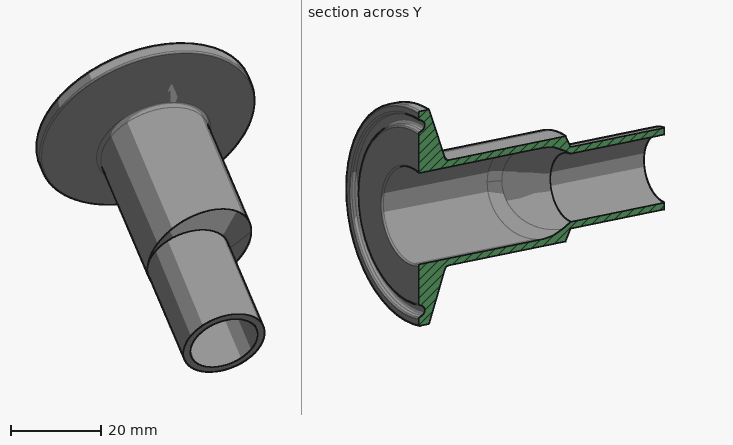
import cadquery as cq
import math

length = 66.7
flange_diameter = 50.4
body_diameter = 25.4
tail_diameter = 19.1
bore_diameter = 22.1
wall = (body_diameter - bore_diameter) / 2
tail_bore_diameter = tail_diameter - 2 * wall

rim_width = 2.95
back_angle = 20.0
rim_fillet = 0.5
neck_fillet = 1.0
mouth_fillet = 0.4

gasket_diameter = 43.5
gasket_mouth_width = 3.0
gasket_flank_angle = 67.0
gasket_bottom_radius = 1.2
gasket_lip_fillet = 0.5

tail_length = 25.4
reducer_length = 3.15
tail_start = length - tail_length
tail_offset = (tail_diameter - body_diameter) / 2
reducer_rise = body_diameter - tail_diameter
reducer_angle = math.degrees(math.atan2(reducer_rise, reducer_length))

bore_cone_angle = 30.0
bore_fillet = 6.7


def cylinder(diameter, start, end, offset=0.0):
    """Round bar along X, with its axis moved along Y by offset.

    The seam of the round face lies on the -Y side, where body and tail touch.
    """
    base = cq.Plane(origin=(start, offset, 0), xDir=(0, -1, 0), normal=(1, 0, 0))
    return cq.Workplane(base).circle(diameter / 2).extrude(end - start)


def revolved(points):
    """Solid of revolution about X from (X, radius) points."""
    return cq.Workplane("XY").polyline(points).close().revolve(360, (0, 0, 0), (1, 0, 0))


def cone_ended_bar(diameter, tail_edge_diameter, angle):
    """Bar along X whose far end is cut by a cone on the tail axis.

    The cone surface lies at the given angle to its axis and passes through
    the circle of tail_edge_diameter at the start of the tail.
    """
    slope = math.tan(math.radians(angle))
    apex = tail_start + tail_edge_diameter / 2 / slope
    cone = revolved([(0, 0), (0, apex * slope), (apex, 0)]).translate((0, tail_offset, 0))
    return cylinder(diameter, 0, apex).intersect(cone)


def circles_at(shape, x, radius):
    """Circular edges of shape about the X axis at a given X and radius."""
    tolerance = 0.01
    return shape.edges("%CIRCLE").filter(
        lambda edge: abs(edge.Center().x - x) < tolerance and abs(edge.radius() - radius) < tolerance
    )


def flange():
    """Clamp flange with a conical back that blends into a short neck."""
    rim_radius = flange_diameter / 2
    neck_radius = body_diameter / 2
    neck_start = rim_width + (rim_radius - neck_radius) * math.tan(math.radians(back_angle))
    neck_end = neck_start + 2 * neck_fillet
    blank = revolved([
        (0, 0),
        (0, rim_radius),
        (rim_width, rim_radius),
        (neck_start, neck_radius),
        (neck_end, neck_radius),
        (neck_end, 0),
    ])
    blank = circles_at(blank, neck_start, neck_radius).fillet(neck_fillet)
    blank = circles_at(blank, rim_width, rim_radius).fillet(rim_fillet)
    return circles_at(blank, 0, rim_radius).fillet(rim_fillet)


def outside():
    """Solid outer form: flange, body tube, reducer cone and tail tube."""
    body = cone_ended_bar(body_diameter, tail_diameter, reducer_angle)
    tail = cylinder(tail_diameter, tail_start, length, tail_offset)
    return body.union(tail).union(flange())


def passage():
    """Through passage: body bore, rounded cone end and offset tail bore."""
    bore = cone_ended_bar(bore_diameter, tail_bore_diameter, bore_cone_angle)
    bore = bore.edges("not(%CIRCLE or %LINE)").fillet(bore_fillet)
    cone_length = (bore_diameter - tail_bore_diameter) / math.tan(math.radians(bore_cone_angle))
    tail_bore = cylinder(tail_bore_diameter, tail_start - cone_length, length, tail_offset)
    return bore.union(tail_bore)


def add_gasket_groove(part):
    """Cut the gasket groove and round both of its lips."""
    middle = gasket_diameter / 2
    half_mouth = gasket_mouth_width / 2
    flank = math.radians(gasket_flank_angle)
    arc_centre = (half_mouth - gasket_bottom_radius / math.sin(flank)) * math.tan(flank)
    arc_start = arc_centre + gasket_bottom_radius * math.cos(flank)
    arc_half_width = gasket_bottom_radius * math.sin(flank)
    groove = (
        cq.Workplane("XY")
        .moveTo(0, middle - half_mouth)
        .lineTo(arc_start, middle - arc_half_width)
        .threePointArc((arc_centre + gasket_bottom_radius, middle), (arc_start, middle + arc_half_width))
        .lineTo(0, middle + half_mouth)
        .close()
        .revolve(360, (0, 0, 0), (1, 0, 0))
    )
    part = part.cut(groove)
    for lip_radius in (middle - half_mouth, middle + half_mouth):
        part = circles_at(part, 0, lip_radius).fillet(gasket_lip_fillet)
    return part


def round_mouth(part):
    """Round the edge where the bore meets the sealing face."""
    return circles_at(part, 0, bore_diameter / 2).fillet(mouth_fillet)


result = round_mouth(add_gasket_groove(outside().cut(passage())))